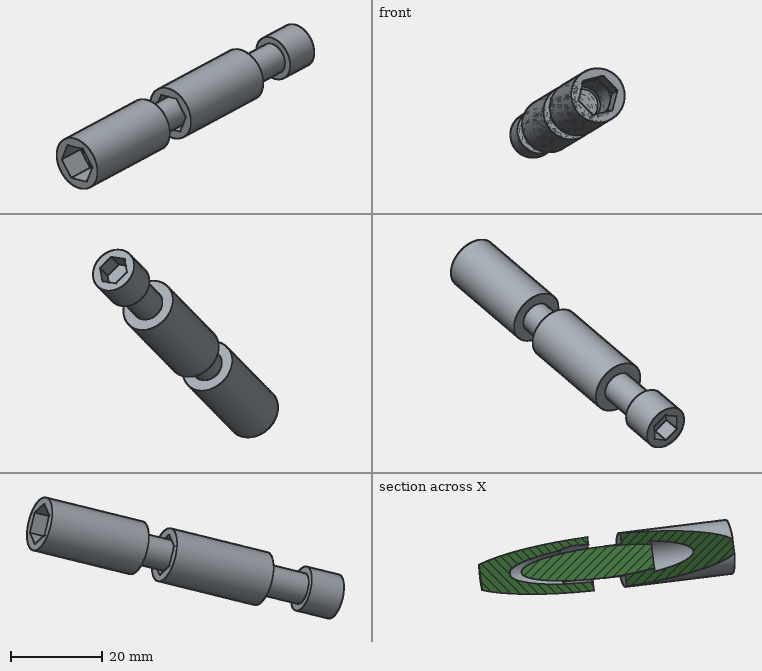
import cadquery as cq
import math

AXIS_YAW = 11.45
AXIS_RISE = 6.9

HEAD_DIAMETER = 10.0
HEAD_LENGTH = 8.0
SHANK_DIAMETER = 7.0
SOCKET_FLATS = 6.0
SOCKET_DEPTH = HEAD_LENGTH / 2
SOCKET_TURN = 24.0

SLEEVE_DIAMETER = 12.0
SLEEVE_LENGTH = 24.0
MOUTH_FLATS = 7.9
MOUTH_DEPTH = 6.25
MOUTH_TURN = 14.0
BORE_DIAMETER = 8.0
BORE_DEPTH = 17.5
OVERALL_LENGTH = 73.0
FIRST_SLEEVE_START = 18.0
LAST_SLEEVE_START = OVERALL_LENGTH - SLEEVE_LENGTH
SLEEVE_STARTS = (FIRST_SLEEVE_START, LAST_SLEEVE_START)

SCREW_LENGTH = OVERALL_LENGTH - BORE_DEPTH

yaw = math.radians(AXIS_YAW)
rise = math.radians(AXIS_RISE)
axis_direction = cq.Vector(
    math.cos(rise) * math.sin(yaw),
    -math.cos(rise) * math.cos(yaw),
    math.sin(rise),
)
level_direction = cq.Vector(math.cos(yaw), math.sin(yaw), 0)


def plane_at(station, turn=0.0):
    """Plane square to the axis at a distance from the head face, turned about the axis."""
    plane = cq.Plane(axis_direction * station, level_direction, axis_direction)
    return plane.rotated((0, 0, turn))


def cylinder(start, length, diameter):
    return cq.Workplane(plane_at(start)).circle(diameter / 2).extrude(length)


def hexagon_prism(start, length, flats, turn):
    corner_circle = flats / math.cos(math.pi / 6)
    return cq.Workplane(plane_at(start, turn)).polygon(6, corner_circle).extrude(length)


def make_screw():
    head = cylinder(0, HEAD_LENGTH, HEAD_DIAMETER)
    shank = cylinder(HEAD_LENGTH, SCREW_LENGTH - HEAD_LENGTH, SHANK_DIAMETER)
    socket = hexagon_prism(0, SOCKET_DEPTH, SOCKET_FLATS, SOCKET_TURN)
    return head.union(shank).cut(socket)


def make_sleeve(start):
    end = start + SLEEVE_LENGTH
    body = cylinder(start, SLEEVE_LENGTH, SLEEVE_DIAMETER)
    shank_hole = cylinder(start, SLEEVE_LENGTH, SHANK_DIAMETER)
    bore_length = BORE_DEPTH - MOUTH_DEPTH
    bore = cylinder(end - BORE_DEPTH, bore_length, BORE_DIAMETER)
    mouth = hexagon_prism(end - MOUTH_DEPTH, MOUTH_DEPTH, MOUTH_FLATS, MOUTH_TURN)
    return body.cut(shank_hole).cut(bore).cut(mouth)


screw = make_screw()
sleeves = [make_sleeve(start) for start in SLEEVE_STARTS]
result = cq.Compound.makeCompound([screw.val(), *[sleeve.val() for sleeve in sleeves]])